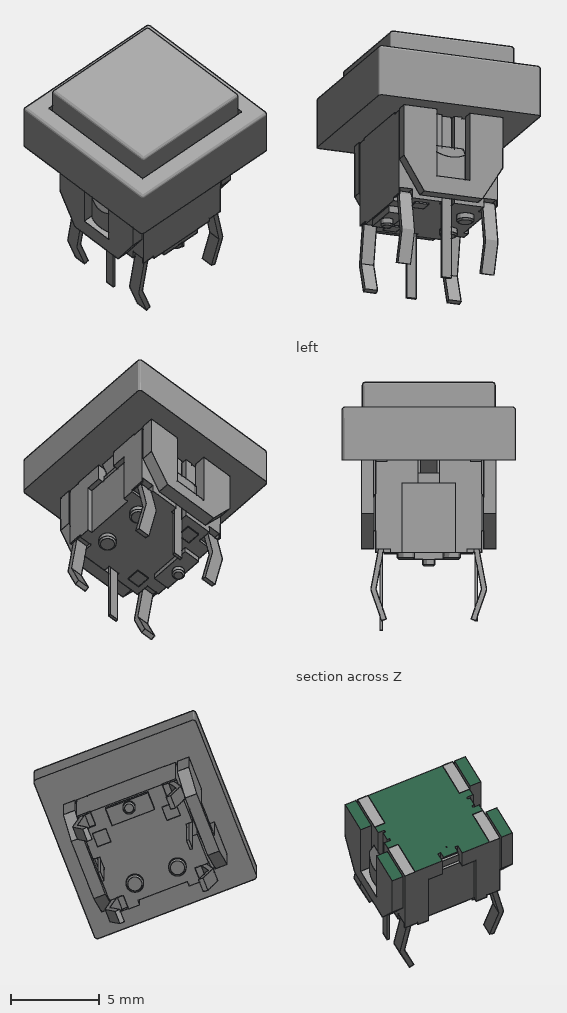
import cadquery as cq
import math


TOTAL_HEIGHT = 14.0

BEZEL_SIDE = 9.8
BEZEL_HEIGHT = 3.0
CAP_SIDE = 7.5
CAP_RISE = 1.4
EDGE_RADIUS = 0.2
CAP_GAP = 0.1
CAP_GAP_DEPTH = 0.7

BODY_SIDE = 5.99
BODY_HEIGHT = 5.21
BODY_HALF = BODY_SIDE / 2

TOP_RELIEF_X = 0.84
TOP_RELIEF_Y = 2.35
TOP_RELIEF_HEIGHT = 0.08

RECESS_WIDTH = BODY_SIDE / 2
RECESS_DEPTH = 0.28
RECESS_TOP_Z = -1.3
LATCH_ENTRY_DEPTH = 0.42
LATCH_WIDTH = 1.23
LATCH_LEDGE_Z = -0.73
LATCH_DEPTH = 2 * RECESS_DEPTH
HOOK_WIDTH = 0.92

LEG_CLEARANCE = 0.1
LEG_THICKNESS = 0.7
LEG_LENGTH = 5.01
LEG_TIP_WIDTH = 3.53
LEG_TAPER_Z = -3.02
WINDOW_WIDTH = 2.0
WINDOW_DEPTH = 4.0

BUMP_WIDTH = 1.82
BUMP_RADIUS = 2.2
BUMP_REACH = 0.49
BUMP_TOP_Z = -1.89
BUMP_RAMP_ANGLE = 57.0

LAMP_PIN_WIDTH = 0.56
LAMP_PIN_THICKNESS = 0.15
LAMP_PIN_INNER_Y = 2.6
LAMP_GROOVE_WIDTH = 0.75
LONG_PIN_END_Z = BEZEL_HEIGHT + CAP_RISE - TOTAL_HEIGHT

PIN_X = 2.53
PIN_WIDTH = 0.75
PIN_THICKNESS = 0.3
PIN_TOP_Z = -4.68
PIN_ROOT_Y = 1.96
PIN_SHOULDER_Y = 2.77
PIN_KINK_Y = 3.28
PIN_KINK_Z = -7.31
PIN_END_Y = 2.66
PIN_END_Z = -9.07
PIN_SHOULDER_RADIUS = 0.56
PIN_KINK_RADIUS = 0.35
PIN_NOTCH_Y = 2.17
PIN_NOTCH_HEIGHT = 0.18

PEG_DIAMETER = 1.0
PEG_X = -1.71
PEG_Y = 1.29
PEG_HEIGHT = 0.39
PEG_CHAMFER = 0.1
BLOCK_INNER_X = 1.88
BLOCK_OUTER_X = PIN_X + PIN_WIDTH / 2
TIP_DIAMETER = 0.7
PAD_X = 1.39
PAD_Y = 2.1
PAD_SIDE = 0.81
PAD_HEIGHT = 0.08


def box(x_range, y_range, z_range):
    """Box spanning the given (low, high) ranges."""
    size = [high - low for low, high in (x_range, y_range, z_range)]
    corner = (x_range[0], y_range[0], z_range[0])
    return cq.Workplane("XY").box(*size, centered=False).translate(corner)


def centred(width):
    return (-width / 2, width / 2)


def both_y_sides(shape):
    """The -Y shape together with its mirror image on the +Y side."""
    return shape.union(shape.mirror("XZ"))


def rounded_block(side, bottom_z, top_z):
    """Square block with rounded upright edges and a rounded top rim."""
    block = box(centred(side), centred(side), (bottom_z, top_z))
    return block.edges("|Z or >Z").fillet(EDGE_RADIUS)


def make_bezel():
    gap_floor_z = BEZEL_HEIGHT - CAP_GAP_DEPTH
    opening_side = CAP_SIDE + 2 * CAP_GAP
    opening = box(centred(opening_side), centred(opening_side), (gap_floor_z, BEZEL_HEIGHT))
    cap = rounded_block(CAP_SIDE, gap_floor_z, BEZEL_HEIGHT + CAP_RISE)
    return rounded_block(BEZEL_SIDE, 0, BEZEL_HEIGHT).cut(opening).union(cap)


def make_leg():
    """-Y leg: a plate tapering to its tip, with a window for the snap bump."""
    outer_y = -(BODY_HALF + LEG_CLEARANCE + LEG_THICKNESS)
    tip_half = LEG_TIP_WIDTH / 2
    outline = [
        (-BODY_HALF, 0),
        (BODY_HALF, 0),
        (BODY_HALF, LEG_TAPER_Z),
        (tip_half, -LEG_LENGTH),
        (-tip_half, -LEG_LENGTH),
        (-BODY_HALF, LEG_TAPER_Z),
    ]
    plate = cq.Workplane("XZ", origin=(0, outer_y, 0)).polyline(outline).close().extrude(-LEG_THICKNESS)
    window = box(centred(WINDOW_WIDTH), (outer_y, -BODY_HALF), (-WINDOW_DEPTH, 0))
    return plate.cut(window)


def make_bump():
    """-Y snap bump: a cylindrical front under a ramp that falls away from the body."""
    front_y = -(BODY_HALF + BUMP_REACH)
    drum = (
        cq.Workplane("XY", origin=(0, front_y + BUMP_RADIUS, -WINDOW_DEPTH))
        .circle(BUMP_RADIUS)
        .extrude(WINDOW_DEPTH + BUMP_TOP_Z)
    )
    front_top_z = BUMP_TOP_Z - BUMP_REACH * math.tan(math.radians(BUMP_RAMP_ANGLE))
    ramp_outline = [
        (-BODY_HALF, -WINDOW_DEPTH),
        (-BODY_HALF, BUMP_TOP_Z),
        (front_y, front_top_z),
        (front_y, -WINDOW_DEPTH),
    ]
    ramp = cq.Workplane("YZ").polyline(ramp_outline).close().extrude(BUMP_WIDTH / 2, both=True)
    return drum.intersect(ramp)


def make_corner_cuts():
    """Top relief, terminal notch and terminal slot at the +X -Y corner of the body."""
    notch_top_z = -BODY_HEIGHT + PIN_NOTCH_HEIGHT
    notch_y = (-BODY_HALF, -PIN_NOTCH_Y)
    pin_inner_x = PIN_X - PIN_WIDTH / 2
    pin_outer_x = PIN_X + PIN_WIDTH / 2
    relief = box((TOP_RELIEF_X, BODY_HALF), (-BODY_HALF, -TOP_RELIEF_Y), (-TOP_RELIEF_HEIGHT, 0))
    notch = box((pin_inner_x, BODY_HALF), notch_y, (-BODY_HEIGHT, notch_top_z))
    slot = box((pin_inner_x, pin_outer_x), notch_y, (notch_top_z, PIN_TOP_Z))
    return relief.union(notch).union(slot)


def make_body():
    body = box(centred(BODY_SIDE), centred(BODY_SIDE), (-BODY_HEIGHT, 0))

    lamp_groove = box(centred(LAMP_GROOVE_WIDTH), (-BODY_HALF, -LAMP_PIN_INNER_Y), (-BODY_HEIGHT, 0))
    body = body.cut(both_y_sides(lamp_groove))

    corner_cuts = make_corner_cuts()
    body = body.cut(both_y_sides(corner_cuts)).cut(both_y_sides(corner_cuts.mirror("YZ")))

    recess_x = (-BODY_HALF, -BODY_HALF + RECESS_DEPTH)
    entry_x = (-BODY_HALF, -BODY_HALF + LATCH_ENTRY_DEPTH)
    latch_x = (-BODY_HALF, -BODY_HALF + LATCH_DEPTH)
    recess = box(recess_x, centred(RECESS_WIDTH), (-BODY_HEIGHT, RECESS_TOP_Z))
    latch_entry = box(entry_x, centred(LATCH_WIDTH), (RECESS_TOP_Z, LATCH_LEDGE_Z))
    latch_pocket = box(latch_x, centred(LATCH_WIDTH), (LATCH_LEDGE_Z, 0))
    return body.cut(recess).cut(latch_entry).cut(latch_pocket)


def make_latch_hook():
    """Wedge under the bezel, its sloping face turned down and outwards."""
    outline = [
        (-BODY_HALF + RECESS_DEPTH / 2, 0),
        (-BODY_HALF + LATCH_DEPTH, 0),
        (-BODY_HALF + LATCH_DEPTH, LATCH_LEDGE_Z),
    ]
    return cq.Workplane("XZ").polyline(outline).close().extrude(HOOK_WIDTH / 2, both=True)


def make_switch_pin(x):
    """-Y terminal: leaves the body sideways, bends down and kinks outwards half way."""
    upper = math.atan2(PIN_KINK_Y - PIN_SHOULDER_Y, PIN_TOP_Z - PIN_KINK_Z)
    lower = math.atan2(PIN_KINK_Y - PIN_END_Y, PIN_KINK_Z - PIN_END_Z)
    inner_top_z = PIN_TOP_Z - PIN_THICKNESS

    upper_offset = PIN_THICKNESS / math.cos(upper)
    inner_shoulder_y = PIN_SHOULDER_Y + PIN_THICKNESS * math.tan(upper) - upper_offset
    kink_reach = PIN_THICKNESS / math.cos((upper + lower) / 2)
    kink_tilt = (lower - upper) / 2
    inner_kink_y = PIN_KINK_Y - kink_reach * math.cos(kink_tilt)
    inner_kink_z = PIN_KINK_Z + kink_reach * math.sin(kink_tilt)
    inner_end_y = PIN_END_Y - PIN_THICKNESS * math.cos(lower)
    inner_end_z = PIN_END_Z + PIN_THICKNESS * math.sin(lower)

    outline = [
        (-PIN_ROOT_Y, PIN_TOP_Z),
        (-PIN_SHOULDER_Y, PIN_TOP_Z),
        (-PIN_KINK_Y, PIN_KINK_Z),
        (-PIN_END_Y, PIN_END_Z),
        (-inner_end_y, inner_end_z),
        (-inner_kink_y, inner_kink_z),
        (-inner_shoulder_y, inner_top_z),
        (-PIN_ROOT_Y, inner_top_z),
    ]
    pin = cq.Workplane("YZ", origin=(x, 0, 0)).polyline(outline).close().extrude(PIN_WIDTH / 2, both=True)
    shoulder = cq.selectors.NearestToPointSelector((x, -PIN_SHOULDER_Y, PIN_TOP_Z))
    kink = cq.selectors.NearestToPointSelector((x, -PIN_KINK_Y, PIN_KINK_Z))
    return pin.edges(shoulder).fillet(PIN_SHOULDER_RADIUS).edges(kink).fillet(PIN_KINK_RADIUS)


def make_lamp_pins():
    outer_y = LAMP_PIN_INNER_Y + LAMP_PIN_THICKNESS
    short_pin = box(centred(LAMP_PIN_WIDTH), (-outer_y, -LAMP_PIN_INNER_Y), (PIN_END_Z, 0))
    long_pin = box(centred(LAMP_PIN_WIDTH), (LAMP_PIN_INNER_Y, outer_y), (LONG_PIN_END_Z, 0))
    return short_pin.union(long_pin)


def peg(x, y, diameter, top_z):
    """Round peg hanging from top_z with a chamfered lower rim."""
    shaft = cq.Workplane("XY", origin=(x, y, top_z)).circle(diameter / 2).extrude(-PEG_HEIGHT)
    return shaft.faces("<Z").chamfer(PEG_CHAMFER)


def make_underside():
    """Locating pegs, a block with a smaller peg below it, and two thin pads."""
    block_bottom_z = -BODY_HEIGHT - PEG_HEIGHT
    details = box((BLOCK_INNER_X, BLOCK_OUTER_X), (-PEG_Y, PEG_Y), (block_bottom_z, -BODY_HEIGHT))
    details = details.union(peg(PIN_X, 0, TIP_DIAMETER, block_bottom_z))
    pad_x = (PAD_X - PAD_SIDE / 2, PAD_X + PAD_SIDE / 2)
    pad_y = (-PAD_Y - PAD_SIDE / 2, -PAD_Y + PAD_SIDE / 2)
    pad = box(pad_x, pad_y, (-BODY_HEIGHT - PAD_HEIGHT, -BODY_HEIGHT))
    details = details.union(both_y_sides(pad))
    return details.union(both_y_sides(peg(PEG_X, -PEG_Y, PEG_DIAMETER, -BODY_HEIGHT)))


result = make_bezel().union(make_body()).union(make_latch_hook())
result = result.union(both_y_sides(make_leg())).union(both_y_sides(make_bump()))
result = result.union(make_lamp_pins()).union(make_underside())
for pin_x in (-PIN_X, PIN_X):
    result = result.union(both_y_sides(make_switch_pin(pin_x)))